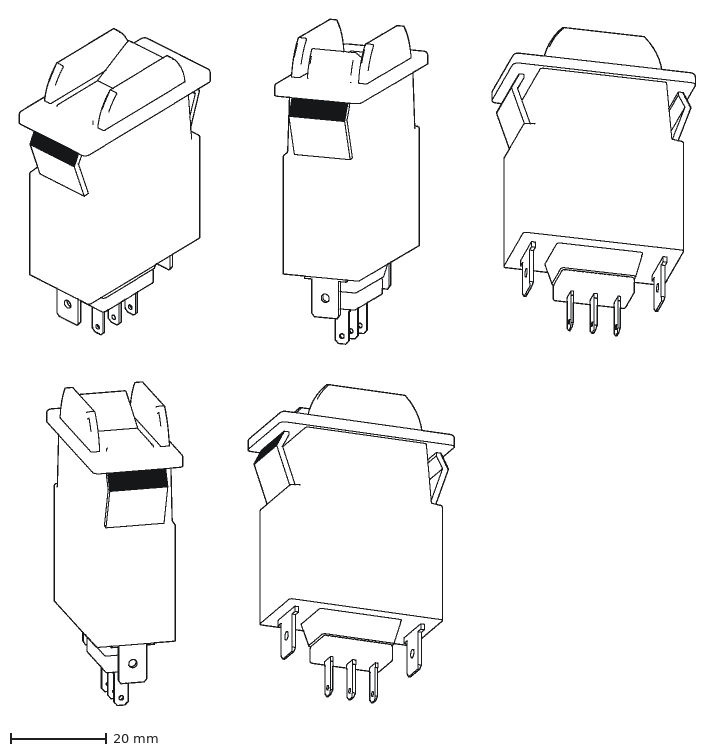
import cadquery as cq
import math


tolerance = 0.001

flange_width = 19.56
flange_length = 39.62
flange_top = 2.62
flange_corner_radius = 1.27
flange_top_fillet = 0.76

body_width = 17.3
body_length = 34.8
body_bottom = -38.86
body_fillet = 0.635
neck_length = 27.4
neck_root_z = -12.95
neck_draft = 5.0
neck_root_fillet = 0.25

guard_radius = 12.8
guard_arc_centre_z = 1.0
guard_top = flange_top + 7.66
guard_thickness = 1.9
guard_centre_x = 7.58
guard_fillet = 0.3

rocker_width = 10.2
rocker_radius = 12.45
rocker_arc_centre_z = 0.65
rocker_apex_z = flange_top + 5.85
rocker_low_z = flange_top + 0.4
rocker_fillet = 0.38
rocker_base_z = 0

clip_width = 12.6
clip_tip_z = -0.75
clip_elbow_z = -4.15
clip_elbow_y = 19.45
clip_tip_y = 17.7
clip_foot_y = 16.35
clip_foot_z = -13.1
clip_thickness_y = 1.32
clip_tip_thickness_y = 1.0
clip_lip_height = 0.75
clip_steps = 20

taper_top_size = (11.06, 18.62)
taper_bottom_size = (8.56, 16.2)
taper_bottom = -43.9
block_size = (8.2, 15.8)
block_bottom = -47.8
block_bottom_fillet = 0.5
block_top_fillet = 0.76

tip_length = 0.8
tip_thickness_ratio = 0.5
embed = 1.0

small_spacing = 5.08
small_thickness = 0.54
middle_thickness = 0.76
small_width = 3.05
small_tip_width = 1.65
small_shoulder_width = 3.45
small_shoulder_bottom = block_bottom - 1.0
overall_height = 66.19
small_bottom = guard_top - overall_height
small_hole_diameter = 1.0
small_hole_z = small_bottom + 1.7

large_spacing = 28.5
large_thickness = 0.85
large_width = 6.1
large_tip_width = 5.1
large_shoulder_width = 9.4
large_shoulder_bottom = body_bottom - 1.2
large_bottom = body_bottom - 9.35
large_hole_diameter = 1.8
large_hole_z = body_bottom - 5.05


def arc_half_length(radius, centre_z, z):
    """Distance from Y = 0, at height z, of an arc centred on Y = 0 at height centre_z."""
    return math.sqrt(radius**2 - (z - centre_z) ** 2)


def prism(profile, width):
    """Extrude a YZ profile symmetrically about the plane X = 0."""
    return profile.extrude(width / 2, both=True)


def box_between(size_x, size_y, bottom, top, y=0):
    """Box centred on X = 0 and the given Y, between two heights."""
    base = cq.Workplane("XY", origin=(0, y, bottom))
    return base.rect(size_x, size_y).extrude(top - bottom)


def make_flange():
    plate = box_between(flange_width, flange_length, 0, flange_top)
    plate = plate.edges("|Z").fillet(flange_corner_radius)
    return plate.faces(">Z").edges().fillet(flange_top_fillet)


def make_body():
    slope = math.tan(math.radians(neck_draft))
    half_length = body_length / 2
    neck_half = neck_length / 2
    root_half = neck_half - neck_root_z * slope
    shoulder_z = neck_root_z - (half_length - root_half) * slope
    half_outline = [
        (half_length, body_bottom),
        (half_length, shoulder_z),
        (root_half, neck_root_z),
        (neck_half, 0),
    ]
    mirrored = [(-y, z) for y, z in reversed(half_outline)]
    body = prism(cq.Workplane("YZ").polyline(half_outline + mirrored).close(), body_width)

    root_edges = body.edges("|X").filter(lambda edge: abs(edge.Center().z - neck_root_z) < tolerance)
    body = root_edges.fillet(neck_root_fillet)
    rim = body.faces("<X or >X").edges().filter(lambda edge: body_bottom < edge.Center().z < 0)
    corners = body.edges("|X").filter(lambda edge: abs(edge.Center().z - shoulder_z) < tolerance)
    return rim.add(corners).fillet(body_fillet)


def make_guard(centre_x):
    base_half = arc_half_length(guard_radius, guard_arc_centre_z, flange_top)
    top_half = arc_half_length(guard_radius, guard_arc_centre_z, guard_top)
    mid_z = (flange_top + guard_top) / 2
    mid_half = arc_half_length(guard_radius, guard_arc_centre_z, mid_z)
    profile = (
        cq.Workplane("YZ")
        .moveTo(-base_half, flange_top)
        .lineTo(base_half, flange_top)
        .threePointArc((mid_half, mid_z), (top_half, guard_top))
        .lineTo(-top_half, guard_top)
        .threePointArc((-mid_half, mid_z), (-base_half, flange_top))
        .close()
    )
    guard = prism(profile, guard_thickness)
    rim = guard.faces("<X or >X").edges()
    rim = rim.filter(lambda edge: edge.Center().z > flange_top + guard_fillet)
    return rim.fillet(guard_fillet).translate((centre_x, 0, 0))


def make_clip():
    """Bent spring clip on the +Y side, rooted in the shoulder, with a stepped grip face."""
    slope = (clip_elbow_y - clip_foot_y) / (clip_elbow_z - clip_foot_z)
    root_z = clip_foot_z - embed
    root_y = clip_foot_y - embed * slope
    step_height = (clip_tip_z - clip_elbow_z) / clip_steps
    step_depth = (clip_elbow_y - clip_tip_y) / clip_steps
    grip = [(clip_elbow_y, clip_elbow_z)]
    for step in range(clip_steps):
        y = clip_elbow_y - step * step_depth
        z = clip_elbow_z + (step + 1) * step_height
        grip += [(y, z), (y - step_depth, z)]
    outline = [
        (root_y, root_z),
        *grip,
        (clip_tip_y - clip_tip_thickness_y, clip_tip_z),
        (clip_tip_y - clip_tip_thickness_y, clip_tip_z - clip_lip_height),
        (clip_elbow_y - clip_thickness_y, clip_elbow_z),
        (root_y - clip_thickness_y, root_z),
    ]
    return prism(cq.Workplane("YZ").polyline(outline).close(), clip_width)


def rounded_rectangle(size):
    return cq.Sketch().rect(*size).vertices().fillet(body_fillet)


def make_terminal_block():
    bottom_offset = cq.Location((0, 0, taper_bottom - body_bottom))
    taper = (
        cq.Workplane("XY", origin=(0, 0, body_bottom))
        .placeSketch(
            rounded_rectangle(taper_top_size),
            rounded_rectangle(taper_bottom_size).moved(bottom_offset),
        )
        .loft()
    )
    block = box_between(*block_size, block_bottom, taper_bottom)
    block = block.edges("|Z").fillet(body_fillet)
    block = block.faces("<Z").edges().fillet(block_bottom_fillet)
    block = block.faces(">Z").edges().fillet(block_top_fillet)
    return taper.union(block)


def make_terminal(
    y, thickness, width, tip_width, bottom, root, shoulder_width, shoulder_bottom, hole_diameter, hole_z
):
    """Flat blade with a wider shoulder at its root, a tapered tip and a hole along Y."""
    blade = box_between(width, thickness, bottom + tip_length, root + embed, y)
    shoulder = box_between(shoulder_width, thickness, shoulder_bottom, root + embed, y)
    tip = (
        cq.Workplane("XY", origin=(0, y, bottom))
        .rect(tip_width, thickness * tip_thickness_ratio)
        .workplane(offset=tip_length)
        .rect(width, thickness)
        .loft()
    )
    hole = (
        cq.Workplane("XZ", origin=(0, y, hole_z))
        .circle(hole_diameter / 2)
        .extrude(thickness, both=True)
    )
    return blade.union(shoulder).union(tip).cut(hole)


def make_small_terminal(y, thickness):
    return make_terminal(
        y, thickness, small_width, small_tip_width, small_bottom, block_bottom,
        small_shoulder_width, small_shoulder_bottom, small_hole_diameter, small_hole_z,
    )


def make_large_terminal(y):
    return make_terminal(
        y, large_thickness, large_width, large_tip_width, large_bottom, body_bottom,
        large_shoulder_width, large_shoulder_bottom, large_hole_diameter, large_hole_z,
    )


def make_rocker():
    """Rocker tipped toward -Y: its ON face slopes up to the apex, its OFF face lies low."""
    base_half = arc_half_length(rocker_radius, rocker_arc_centre_z, flange_top)
    apex_y = arc_half_length(rocker_radius, rocker_arc_centre_z, rocker_apex_z)
    mid_z = (flange_top + rocker_apex_z) / 2
    mid_y = arc_half_length(rocker_radius, rocker_arc_centre_z, mid_z)
    profile = (
        cq.Workplane("YZ")
        .moveTo(-base_half, rocker_base_z)
        .lineTo(base_half, rocker_base_z)
        .lineTo(base_half, flange_top)
        .threePointArc((mid_y, mid_z), (apex_y, rocker_apex_z))
        .lineTo(0, rocker_low_z)
        .lineTo(-base_half, rocker_low_z)
        .close()
    )
    rocker = prism(profile, rocker_width)
    rim = rocker.edges().filter(lambda edge: edge.Center().z > flange_top)
    fold = cq.Vector(0, 0, rocker_low_z)
    rim = rim.filter(lambda edge: (edge.Center() - fold).Length > tolerance)
    return rim.fillet(rocker_fillet)


housing = make_flange().union(make_body()).union(make_terminal_block())
for side in (1, -1):
    housing = housing.union(make_guard(side * guard_centre_x))
    housing = housing.union(make_large_terminal(side * large_spacing / 2))
    housing = housing.union(make_small_terminal(side * small_spacing, small_thickness))
housing = housing.union(make_small_terminal(0, middle_thickness))
clip = make_clip()
housing = housing.union(clip).union(clip.mirror("XZ"))

rocker = make_rocker()
housing = housing.cut(rocker)

result = cq.Compound.makeCompound([housing.val(), rocker.val()])